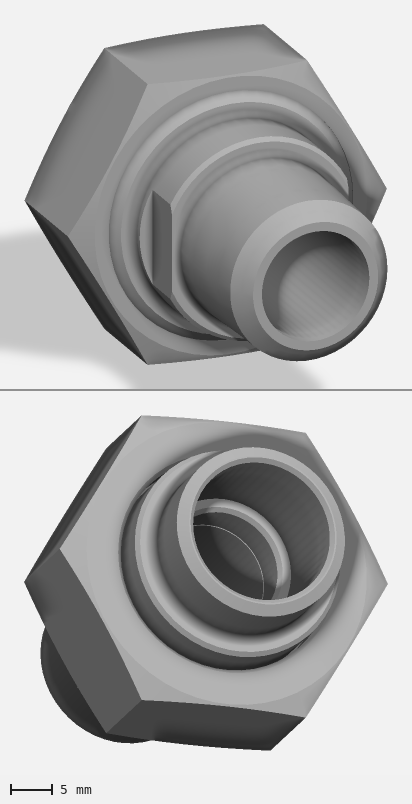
import cadquery as cq
import math


overall_length = 55.0
shoulder_x = 9.0
nut_start_x = 13.5
nut_end_x = 29.0
collar_start_x = 17.5
joint_x = 20.5
flange_end_x = 30.0
barrel_end_x = 38.0

barrel_diameter = 26.0
thread_diameter = 31.85
collar_diameter = 30.38
edge_chamfer = 0.5

spigot_diameter = 21.3
pipe_bore_diameter = 17.3
tail_bore_diameter = 14.2
pipe_bore_depth = 15.0
weld_bevel_length = 0.75
weld_bevel_angle = 60.0
spigot_fillet = 1.0

nut_across_flats = 36.0
nut_lip_diameter = 26.5
nut_face_diameter = 35.5
nut_chamfer_angle = 20.0

body_bore_diameter = 14.0
flange_face_diameter = 29.5
body_fillet = 0.8
gauge_diameter = 20.88
gauge_length = 8.2
taper_per_side = 1 / 32
end_chamfer = 2.1
wrench_across_flats = 23.0
wrench_flat_start_x = 32.0
wrench_runout_angle = 15.0
cut_clearance = 1.0


def tan_degrees(angle):
    return math.tan(math.radians(angle))


def fillet_middle(tangent_x, face_x, tube_radius):
    """Middle point of a concave fillet that leaves a tube at tangent_x and ends on a face at face_x."""
    fillet = abs(face_x - tangent_x)
    reach = math.cos(math.radians(45))
    return (tangent_x + (face_x - tangent_x) * reach, tube_radius + fillet * (1 - reach))


def revolve_about_x(profile):
    return profile.close().revolve(360, (0, 0, 0), (1, 0, 0))


def make_tailpiece():
    spigot_radius = spigot_diameter / 2
    barrel_radius = barrel_diameter / 2
    collar_radius = collar_diameter / 2
    pipe_bore_radius = pipe_bore_diameter / 2
    bore_radius = tail_bore_diameter / 2
    end_radius = spigot_radius - weld_bevel_length * tan_degrees(weld_bevel_angle)
    fillet_start_x = shoulder_x - spigot_fillet
    profile = (
        cq.Workplane("XY")
        .moveTo(0, pipe_bore_radius + edge_chamfer)
        .lineTo(0, end_radius)
        .lineTo(weld_bevel_length, spigot_radius)
        .lineTo(fillet_start_x, spigot_radius)
        .threePointArc(
            fillet_middle(fillet_start_x, shoulder_x, spigot_radius),
            (shoulder_x, spigot_radius + spigot_fillet),
        )
        .lineTo(shoulder_x, barrel_radius - edge_chamfer)
        .lineTo(shoulder_x + edge_chamfer, barrel_radius)
        .lineTo(collar_start_x, barrel_radius)
        .lineTo(collar_start_x, collar_radius)
        .lineTo(joint_x, collar_radius)
        .lineTo(joint_x, bore_radius)
        .lineTo(pipe_bore_depth + edge_chamfer, bore_radius)
        .lineTo(pipe_bore_depth, bore_radius + edge_chamfer)
        .lineTo(pipe_bore_depth, pipe_bore_radius)
        .lineTo(edge_chamfer, pipe_bore_radius)
    )
    return revolve_about_x(profile)


def make_nut():
    corner_radius = nut_across_flats / math.sqrt(3)
    face_radius = nut_face_diameter / 2
    chamfer_length = (corner_radius - face_radius) * tan_degrees(nut_chamfer_angle)
    lip_radius = nut_lip_diameter / 2

    hexagon = (
        cq.Workplane("YZ", origin=(nut_start_x, 0, 0))
        .polygon(6, 2 * corner_radius)
        .extrude(nut_end_x - nut_start_x)
    )
    envelope = revolve_about_x(
        cq.Workplane("XY")
        .moveTo(nut_start_x, lip_radius + edge_chamfer)
        .lineTo(nut_start_x, face_radius)
        .lineTo(nut_start_x + chamfer_length, corner_radius)
        .lineTo(nut_end_x - chamfer_length, corner_radius)
        .lineTo(nut_end_x, face_radius)
        .lineTo(nut_end_x, thread_diameter / 2)
        .lineTo(joint_x, thread_diameter / 2)
        .lineTo(joint_x, collar_diameter / 2)
        .lineTo(collar_start_x, collar_diameter / 2)
        .lineTo(collar_start_x, lip_radius)
        .lineTo(nut_start_x + edge_chamfer, lip_radius)
    )
    return hexagon.intersect(envelope)


def make_wrench_flat_cutter():
    """Block that cuts the wrench flat on the -Y side of the male body."""
    flat_y = wrench_across_flats / 2
    outer_y = barrel_diameter / 2 + cut_clearance
    runout = (outer_y - flat_y) * tan_degrees(wrench_runout_angle)
    return (
        cq.Workplane("XY")
        .moveTo(wrench_flat_start_x, -flat_y)
        .lineTo(barrel_end_x, -flat_y)
        .lineTo(barrel_end_x, -outer_y)
        .lineTo(wrench_flat_start_x - runout, -outer_y)
        .close()
        .extrude(barrel_diameter / 2, both=True)
    )


def make_male_body():
    bore_radius = body_bore_diameter / 2
    thread_radius = thread_diameter / 2
    flange_radius = flange_face_diameter / 2
    barrel_radius = barrel_diameter / 2
    flange_chamfer = thread_radius - flange_radius
    barrel_start_x = flange_end_x + body_fillet
    taper_start_x = barrel_end_x + body_fillet
    taper_end_x = overall_length - end_chamfer
    gauge_x = overall_length - gauge_length
    taper_radius = gauge_diameter / 2 + (gauge_x - taper_start_x) * taper_per_side
    taper_end_radius = gauge_diameter / 2 - (taper_end_x - gauge_x) * taper_per_side
    profile = (
        cq.Workplane("XY")
        .moveTo(joint_x, bore_radius)
        .lineTo(joint_x, thread_radius)
        .lineTo(flange_end_x - flange_chamfer, thread_radius)
        .lineTo(flange_end_x, flange_radius)
        .lineTo(flange_end_x, barrel_radius + body_fillet)
        .threePointArc(
            fillet_middle(barrel_start_x, flange_end_x, barrel_radius),
            (barrel_start_x, barrel_radius),
        )
        .lineTo(barrel_end_x - edge_chamfer, barrel_radius)
        .lineTo(barrel_end_x, barrel_radius - edge_chamfer)
        .lineTo(barrel_end_x, taper_radius + body_fillet)
        .threePointArc(
            fillet_middle(taper_start_x, barrel_end_x, taper_radius),
            (taper_start_x, taper_radius),
        )
        .lineTo(taper_end_x, taper_end_radius)
        .lineTo(overall_length, taper_end_radius - end_chamfer)
        .lineTo(overall_length, bore_radius)
    )
    body = revolve_about_x(profile)
    flat_cutter = make_wrench_flat_cutter()
    for side_angle in (0, 180):
        body = body.cut(flat_cutter.rotate((0, 0, 0), (1, 0, 0), side_angle))
    return body


tailpiece = make_tailpiece()
nut = make_nut()
male_body = make_male_body()

result = cq.Compound.makeCompound([tailpiece.val(), nut.val(), male_body.val()])